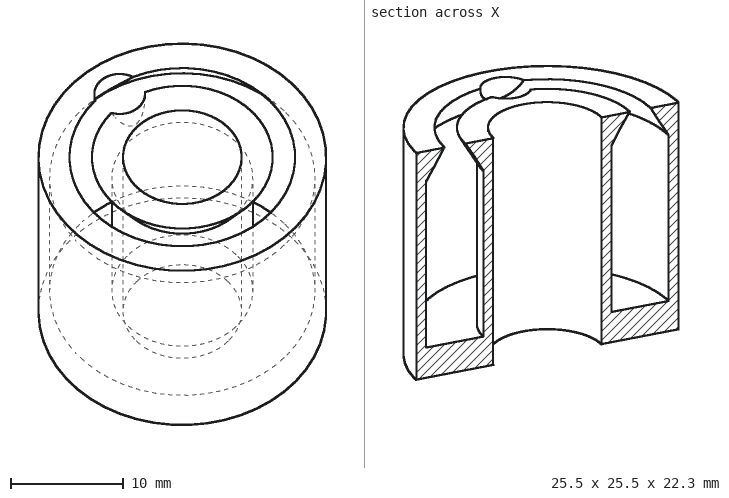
import cadquery as cq

outer_diameter = 25.5
height = 22.25
bore_diameter = 10.5
channel_inner_diameter = 12.5
channel_outer_diameter = 23.5
slot_width = 2.0
flare_depth = 3.0
floor_thickness = 3.0
entry_diameter = 4.5

channel_inner_radius = channel_inner_diameter / 2
channel_outer_radius = channel_outer_diameter / 2
path_radius = (channel_inner_radius + channel_outer_radius) / 2
flare_height = height - flare_depth


def make_sleeve():
    """Plain cylinder with a through bore, standing on Z = 0."""
    return cq.Workplane("XY").circle(outer_diameter / 2).circle(bore_diameter / 2).extrude(height)


def make_channel():
    """Ring channel with straight walls and a roof that tapers in to a slot in the top face."""
    section = [
        (channel_inner_radius, floor_thickness),
        (channel_outer_radius, floor_thickness),
        (channel_outer_radius, flare_height),
        (path_radius + slot_width / 2, height),
        (path_radius - slot_width / 2, height),
        (channel_inner_radius, flare_height),
    ]
    return cq.Workplane("XZ").polyline(section).close().revolve(360, (0, 0), (0, 1))


def make_entry():
    """Vertical hole on the -X side, through the tapered roof into the channel."""
    return (
        cq.Workplane("XY", origin=(-path_radius, 0, height))
        .circle(entry_diameter / 2)
        .extrude(-flare_depth)
    )


result = make_sleeve().cut(make_channel()).cut(make_entry())